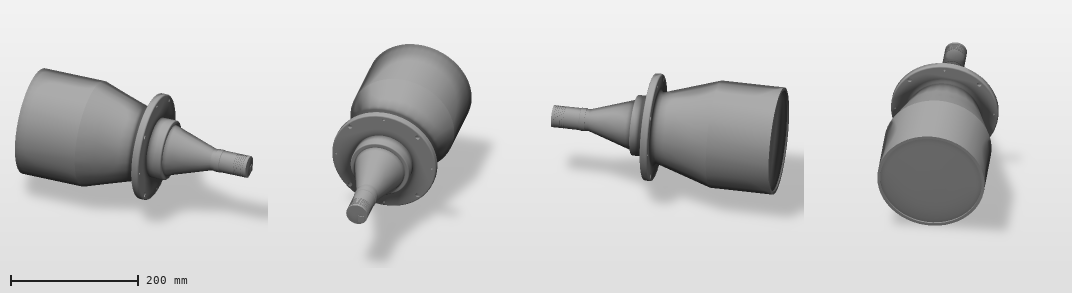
import cadquery as cq
import math

barrel_end = 100.0
neck_start = 188.5
flange_start = 194.0
flange_end = 206.0
hub_end = 230.0
stem_start = 301.0
collar_start = 307.2
collar_end = 316.3
grooves_start = 339.8
stem_end = 360.5
total_length = 361.5

barrel_radius = 84.5
neck_radius = 56.5
flange_radius = barrel_radius
hub_radius = 47.7
cone_base_radius = 40.5
stem_radius = 17.5
collar_radius = 18.0

flange_edge_round = 2.0
hub_edge_round = 1.8
neck_fillet = 4.7
collar_chamfer = 0.7

recess_radius = 80.0
recess_depth = 2.5
recess_apex_depth = 1.8

groove_pitch = 2.95
groove_width = 1.5
groove_depth = 0.7
groove_count = 6

stem_hole_diameter = 3.3
stem_hole_depth = 3.5
stem_hole_station = 334.5
stem_hole_angle = 60

hole_circle_radius = 77.7
bolt_hole_diameter = 7.2
pin_hole_diameter = 3.5
holes_per_set = 4

pad_width = 9.5
pad_height = 11.5
pad_center_y = 7.2
pad_center_z = -7.2


def make_body():
    """Revolve the stepped half profile about the X axis."""
    fillet_mid = neck_fillet * (1 - math.sin(math.radians(45)))
    fillet_start = flange_start - neck_fillet
    profile = (
        cq.Workplane("XY")
        .moveTo(recess_apex_depth, 0)
        .lineTo(recess_depth, recess_radius)
        .lineTo(0, recess_radius)
        .lineTo(0, barrel_radius)
        .lineTo(barrel_end, barrel_radius)
        .lineTo(neck_start, neck_radius)
        .lineTo(fillet_start, neck_radius)
        .threePointArc(
            (flange_start - fillet_mid, neck_radius + fillet_mid),
            (flange_start, neck_radius + neck_fillet),
        )
        .lineTo(flange_start, flange_radius)
        .lineTo(flange_end, flange_radius)
        .lineTo(flange_end, hub_radius)
        .lineTo(hub_end, hub_radius)
        .lineTo(hub_end, cone_base_radius)
        .lineTo(stem_start, stem_radius)
        .lineTo(collar_start, stem_radius)
        .lineTo(collar_start, collar_radius)
        .lineTo(collar_end - collar_chamfer, collar_radius)
        .lineTo(collar_end, stem_radius)
        .lineTo(grooves_start, stem_radius)
    )
    groove_floor = stem_radius - groove_depth
    for groove in range(groove_count):
        groove_start = grooves_start + groove * groove_pitch
        groove_finish = groove_start + groove_width
        profile = (
            profile.lineTo(groove_start, groove_floor)
            .lineTo(groove_finish, groove_floor)
            .lineTo(groove_finish, stem_radius)
            .lineTo(groove_start + groove_pitch, stem_radius)
        )
    profile = profile.lineTo(stem_end, stem_radius).lineTo(stem_end, 0).close()
    return profile.revolve(360, (0, 0, 0), (1, 0, 0))


def round_rim(body, station, radius, size):
    """Round the outermost circular edge lying at one axial station."""
    margin = 0.18
    rim = cq.selectors.BoxSelector(
        (station - margin, -radius - margin, -radius - margin),
        (station + margin, radius + margin, radius + margin),
        boundingbox=True,
    )
    outermost = cq.selectors.RadiusNthSelector(-1)
    return body.edges(rim).edges("%CIRCLE").edges(outermost).fillet(size)


def flange_holes(diameter, first_angle):
    """Evenly spaced cutters through the flange."""
    return (
        cq.Workplane("YZ", origin=(flange_start, 0, 0))
        .polarArray(hole_circle_radius, first_angle, 360, holes_per_set)
        .circle(diameter / 2)
        .extrude(flange_end - flange_start)
    )


def stem_hole():
    """Radial cutter entering the stem from the lower -Y side."""
    angle = math.radians(stem_hole_angle)
    outward = cq.Vector(0, -math.cos(angle), -math.sin(angle))
    bottom = cq.Vector(stem_hole_station, 0, 0) + outward * (stem_radius - stem_hole_depth)
    return cq.Solid.makeCylinder(stem_hole_diameter / 2, stem_radius, bottom, outward)


def tip_pad():
    """Raised rectangle standing on the tip face."""
    return (
        cq.Workplane("YZ", origin=(stem_end, 0, 0))
        .center(pad_center_y, pad_center_z)
        .rect(pad_width, pad_height)
        .extrude(total_length - stem_end)
    )


result = make_body()
result = round_rim(result, flange_start, flange_radius, flange_edge_round)
result = round_rim(result, flange_end, flange_radius, flange_edge_round)
result = round_rim(result, hub_end, hub_radius, hub_edge_round)
result = result.cut(flange_holes(bolt_hole_diameter, 45))
result = result.cut(flange_holes(pin_hole_diameter, 0))
result = result.cut(cq.Workplane(stem_hole()))
result = result.union(tip_pad())